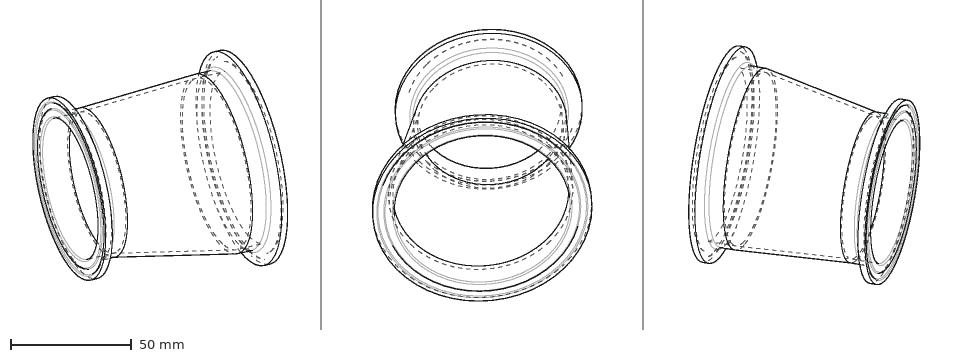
import cadquery as cq
import math

TOTAL_LENGTH = 76.2
FERRULE_LENGTH = 12.7
WALL = 1.7
LARGE_FLANGE_RADIUS = 45.5
LARGE_TUBE_RADIUS = 38.2
LARGE_RIM_THICKNESS = 2.7
SMALL_FLANGE_RADIUS = 38.7
SMALL_TUBE_RADIUS = 31.7
SMALL_RIM_THICKNESS = 3.0

BACK_SLOPE = 20.0
NECK_FILLET = 1.7
MOUTH_FILLET = 0.7
GROOVE_INSET = 3.5
GROOVE_HALF_WIDTH = 1.7
GROOVE_DEPTH = 1.5
GROOVE_EDGE_FILLET = 0.55

SMALL_AXIS_X = SMALL_TUBE_RADIUS - LARGE_TUBE_RADIUS


def make_groove(groove_radius):
    """Ring that cuts a gasket groove with a round floor and tangent rounded edges at Y = 0."""
    turn = 2 * math.atan(GROOVE_DEPTH / GROOVE_HALF_WIDTH)
    floor_radius = GROOVE_HALF_WIDTH / math.sin(turn) - GROOVE_EDGE_FILLET
    tangent_offset = floor_radius * math.sin(turn)
    tangent_y = GROOVE_EDGE_FILLET * (1 - math.cos(turn))
    edge_middle_offset = GROOVE_HALF_WIDTH - GROOVE_EDGE_FILLET * math.sin(turn / 2)
    edge_middle_y = GROOVE_EDGE_FILLET * (1 - math.cos(turn / 2))
    return (
        cq.Workplane("XY", origin=(groove_radius, 0, 0))
        .moveTo(-GROOVE_HALF_WIDTH, 0)
        .threePointArc((-edge_middle_offset, edge_middle_y), (-tangent_offset, tangent_y))
        .threePointArc((0, GROOVE_DEPTH), (tangent_offset, tangent_y))
        .threePointArc((edge_middle_offset, edge_middle_y), (GROOVE_HALF_WIDTH, 0))
        .close()
        .revolve(360, (-groove_radius, 0), (-groove_radius, 1))
    )


def make_ferrule(flange_radius, tube_radius, rim_thickness):
    """Ferrule on the Y axis with its sealing face at Y = 0 and its tube toward +Y."""
    bore_radius = tube_radius - WALL
    slope = math.radians(BACK_SLOPE)
    neck_y = rim_thickness + (flange_radius - tube_radius) * math.tan(slope)

    turn = math.pi / 2 - slope
    tangent_length = NECK_FILLET * math.tan(turn / 2)
    arc_centre_x = tube_radius + NECK_FILLET
    arc_end_y = neck_y + tangent_length
    arc_start = (tube_radius + tangent_length * math.cos(slope), neck_y - tangent_length * math.sin(slope))
    arc_middle = (
        arc_centre_x - NECK_FILLET * math.cos(turn / 2),
        arc_end_y - NECK_FILLET * math.sin(turn / 2),
    )

    mouth_sagitta = MOUTH_FILLET * (1 - math.cos(math.pi / 4))
    mouth_middle = (bore_radius + mouth_sagitta, mouth_sagitta)

    body = (
        cq.Workplane("XY")
        .moveTo(bore_radius + MOUTH_FILLET, 0)
        .lineTo(flange_radius, 0)
        .lineTo(flange_radius, rim_thickness)
        .lineTo(*arc_start)
        .threePointArc(arc_middle, (tube_radius, arc_end_y))
        .lineTo(tube_radius, FERRULE_LENGTH)
        .lineTo(bore_radius, FERRULE_LENGTH)
        .lineTo(bore_radius, MOUTH_FILLET)
        .threePointArc(mouth_middle, (bore_radius + MOUTH_FILLET, 0))
        .close()
        .revolve(360, (0, 0), (0, 1))
    )

    return body.cut(make_groove(flange_radius - GROOVE_INSET))


def make_oblique_cone(small_radius, large_radius):
    """Solid between the small circle and the large circle at the ferrule ends."""
    start_y = FERRULE_LENGTH
    end_y = TOTAL_LENGTH - FERRULE_LENGTH
    along_y = cq.Vector(0, 1, 0)
    small_circle = cq.Wire.makeCircle(small_radius, cq.Vector(SMALL_AXIS_X, start_y, 0), along_y)
    large_circle = cq.Wire.makeCircle(large_radius, cq.Vector(0, end_y, 0), along_y)
    return cq.Workplane(cq.Solid.makeLoft([small_circle, large_circle], True))


small_ferrule = make_ferrule(SMALL_FLANGE_RADIUS, SMALL_TUBE_RADIUS, SMALL_RIM_THICKNESS)
small_ferrule = small_ferrule.translate((SMALL_AXIS_X, 0, 0))

large_ferrule = make_ferrule(LARGE_FLANGE_RADIUS, LARGE_TUBE_RADIUS, LARGE_RIM_THICKNESS)
large_ferrule = large_ferrule.rotate((0, 0, 0), (0, 0, 1), 180).translate((0, TOTAL_LENGTH, 0))

cone_outside = make_oblique_cone(SMALL_TUBE_RADIUS, LARGE_TUBE_RADIUS)
cone_inside = make_oblique_cone(SMALL_TUBE_RADIUS - WALL, LARGE_TUBE_RADIUS - WALL)
reducer_cone = cone_outside.cut(cone_inside)

result = cq.Compound.makeCompound([small_ferrule.val(), reducer_cone.val(), large_ferrule.val()])